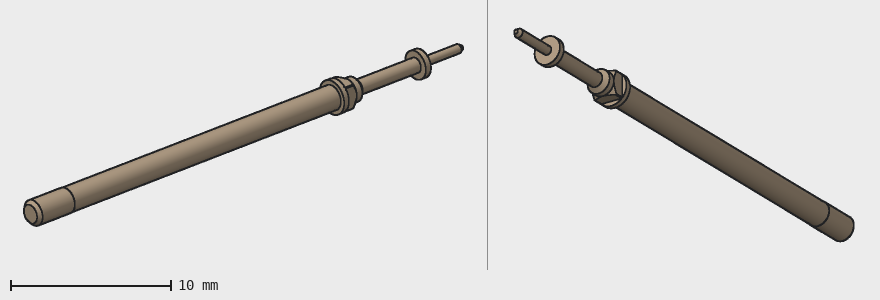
import cadquery as cq

LENGTH = 36.4
STOP_START = 3.45
STOP_WIDTH = 0.45
NECK_END = 8.8
SQUARE_START = 9.6
COLLAR_START = 10.55
COLLAR_WIDTH = 0.4
SLEEVE_LENGTH = 3.0

PIN_TIP_DIAMETER = 0.3
PIN_DIAMETER = 0.62
STOP_DIAMETER = 1.93
NECK_DIAMETER = 1.02
BARREL_DIAMETER = 1.67
COLLAR_DIAMETER = 2.3
SLEEVE_DIAMETER = 1.7
END_FACE_DIAMETER = 1.25

PIN_TIP_LENGTH = 0.3
SHOULDER_LENGTH = 0.33
SQUARE_LEAD_LENGTH = 0.3
END_TAPER_LENGTH = 0.25

SQUARE_SIZE = BARREL_DIAMETER
SQUARE_CORNER_DIAMETER = COLLAR_DIAMETER


def cone(start, end, start_diameter, end_diameter):
    """Round section along -Y whose diameter changes linearly."""
    profile = [
        (0, -start),
        (start_diameter / 2, -start),
        (end_diameter / 2, -end),
        (0, -end),
    ]
    return cq.Workplane("XY").polyline(profile).close().revolve(360, (0, 0), (0, 1))


def rod(start, end, diameter):
    """Plain cylinder along -Y."""
    return cone(start, end, diameter, diameter)


def square_section():
    """Square block with rounded corners and a conical lead-in."""
    length = COLLAR_START - SQUARE_START
    middle = SQUARE_START + length / 2
    block = cq.Workplane("XY").box(SQUARE_SIZE, length, SQUARE_SIZE).translate((0, -middle, 0))
    lead_end = SQUARE_START + SQUARE_LEAD_LENGTH
    envelope = cone(SQUARE_START, lead_end, BARREL_DIAMETER, SQUARE_CORNER_DIAMETER)
    envelope = envelope.union(rod(lead_end, COLLAR_START, SQUARE_CORNER_DIAMETER))
    return block.intersect(envelope)


stop_end = STOP_START + STOP_WIDTH
shoulder_end = NECK_END + SHOULDER_LENGTH
collar_end = COLLAR_START + COLLAR_WIDTH
sleeve_start = LENGTH - SLEEVE_LENGTH
end_taper_start = LENGTH - END_TAPER_LENGTH

result = cone(0, PIN_TIP_LENGTH, PIN_TIP_DIAMETER, PIN_DIAMETER)
result = result.union(rod(PIN_TIP_LENGTH, STOP_START, PIN_DIAMETER))

result = result.union(rod(STOP_START, stop_end, STOP_DIAMETER))
result = result.union(rod(stop_end, NECK_END, NECK_DIAMETER))

result = result.union(cone(NECK_END, shoulder_end, NECK_DIAMETER, BARREL_DIAMETER))
result = result.union(rod(shoulder_end, sleeve_start, BARREL_DIAMETER))
result = result.union(square_section())
result = result.union(rod(COLLAR_START, collar_end, COLLAR_DIAMETER))

result = result.union(rod(sleeve_start, end_taper_start, SLEEVE_DIAMETER))
result = result.union(cone(end_taper_start, LENGTH, SLEEVE_DIAMETER, END_FACE_DIAMETER))